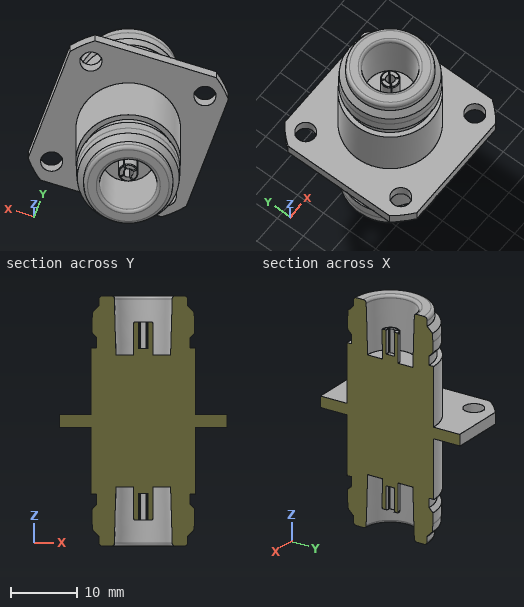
import cadquery as cq
import math

FLANGE_SIDE = 25.4
FLANGE_THICKNESS = 2.0
FLANGE_CORNER_DIAMETER = 32.0
MOUNT_HOLE_PITCH = 18.26
MOUNT_HOLE_DIAMETER = 3.3

TOTAL_LENGTH = 38.0
HALF_LENGTH = TOTAL_LENGTH / 2
BODY_RADIUS = 7.93
NECK_RADIUS = 7.12
COLLAR_RADIUS = 7.82
COLLAR_FRONT_RADIUS = 7.72
NOSE_RADIUS = 6.77
NOSE_EDGE_ROUND = 0.6
NOSE_LENGTH = 1.52
COLLAR_CHAMFER_END = 2.46
COLLAR_TAPER_END = 3.86
COLLAR_END = 5.7
NECK_START = 6.4
BODY_START = 7.9

BORE_MOUTH_RADIUS = 4.35
BORE_FLOOR_RADIUS = 4.1
BORE_DEPTH = 9.0
BORE_EDGE_ROUND = 0.5

CONTACT_RADIUS = 1.5
CONTACT_TIP_CHAMFER = 0.15
CONTACT_RECESS = 4.0
CONTACT_HOLE_RADIUS = 0.72
CONTACT_HOLE_DEPTH = 4.0
CONTACT_SLOT_WIDTH = 0.2
SLOT_ANGLES = (45, 135)


def make_flange():
    plate = cq.Workplane("XY").box(FLANGE_SIDE, FLANGE_SIDE, FLANGE_THICKNESS)
    corner_trim = (
        cq.Workplane("XY", origin=(0, 0, -FLANGE_THICKNESS / 2))
        .circle(FLANGE_CORNER_DIAMETER / 2)
        .extrude(FLANGE_THICKNESS)
    )
    holes = (
        cq.Workplane("XY", origin=(0, 0, -FLANGE_THICKNESS / 2))
        .rect(MOUNT_HOLE_PITCH, MOUNT_HOLE_PITCH, forConstruction=True)
        .vertices()
        .circle(MOUNT_HOLE_DIAMETER / 2)
        .extrude(FLANGE_THICKNESS)
    )
    return plate.intersect(corner_trim).cut(holes)


def make_half_barrel():
    """Upper half of the barrel, hollowed by its socket, revolved about Z."""
    bore_floor_z = HALF_LENGTH - BORE_DEPTH
    bore_round_z = HALF_LENGTH - BORE_EDGE_ROUND
    diagonal = math.sqrt(0.5)
    bore_round_middle = (
        BORE_MOUTH_RADIUS + BORE_EDGE_ROUND * (1 - diagonal),
        bore_round_z + BORE_EDGE_ROUND * diagonal,
    )
    nose_round_middle = (
        NOSE_RADIUS - NOSE_EDGE_ROUND * (1 - diagonal),
        HALF_LENGTH - NOSE_EDGE_ROUND * (1 - diagonal),
    )
    profile = (
        cq.Workplane("XZ")
        .moveTo(0, 0)
        .lineTo(0, bore_floor_z)
        .lineTo(BORE_FLOOR_RADIUS, bore_floor_z)
        .lineTo(BORE_MOUTH_RADIUS, bore_round_z)
        .threePointArc(bore_round_middle, (BORE_MOUTH_RADIUS + BORE_EDGE_ROUND, HALF_LENGTH))
        .lineTo(NOSE_RADIUS - NOSE_EDGE_ROUND, HALF_LENGTH)
        .threePointArc(nose_round_middle, (NOSE_RADIUS, HALF_LENGTH - NOSE_EDGE_ROUND))
        .lineTo(NOSE_RADIUS, HALF_LENGTH - NOSE_LENGTH)
        .lineTo(COLLAR_FRONT_RADIUS, HALF_LENGTH - COLLAR_CHAMFER_END)
        .lineTo(COLLAR_RADIUS, HALF_LENGTH - COLLAR_TAPER_END)
        .lineTo(COLLAR_RADIUS, HALF_LENGTH - COLLAR_END)
        .lineTo(NECK_RADIUS, HALF_LENGTH - NECK_START)
        .lineTo(NECK_RADIUS, HALF_LENGTH - BODY_START)
        .lineTo(BODY_RADIUS, HALF_LENGTH - BODY_START)
        .lineTo(BODY_RADIUS, 0)
        .close()
    )
    return profile.revolve(360, (0, 0, 0), (0, 1, 0))


def make_contact():
    """Centre contact of the upper socket, with a blind hole and crossed slots."""
    base_z = HALF_LENGTH - BORE_DEPTH
    contact_length = BORE_DEPTH - CONTACT_RECESS
    hole_floor_z = base_z + contact_length - CONTACT_HOLE_DEPTH
    contact = (
        cq.Workplane("XY", origin=(0, 0, base_z))
        .circle(CONTACT_RADIUS)
        .extrude(contact_length)
        .faces(">Z")
        .edges()
        .chamfer(CONTACT_TIP_CHAMFER)
    )
    hole = (
        cq.Workplane("XY", origin=(0, 0, hole_floor_z))
        .circle(CONTACT_HOLE_RADIUS)
        .extrude(CONTACT_HOLE_DEPTH)
    )
    contact = contact.cut(hole)
    for angle in SLOT_ANGLES:
        slot = (
            cq.Workplane("XY", origin=(0, 0, hole_floor_z))
            .transformed(rotate=(0, 0, angle))
            .rect(2 * BODY_RADIUS, CONTACT_SLOT_WIDTH)
            .extrude(CONTACT_HOLE_DEPTH)
        )
        contact = contact.cut(slot)
    return contact


upper_half = make_half_barrel().union(make_contact())
lower_half = upper_half.mirror("XY")
result = make_flange().union(upper_half).union(lower_half)